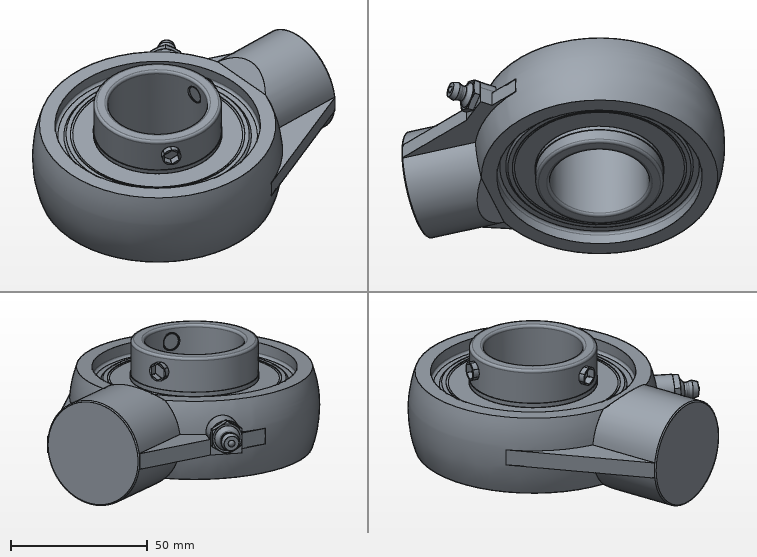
import cadquery as cq
import math

OVERALL_LENGTH = 115.7

HOUSING_DIAMETER = 91.7
HOUSING_FACE_DIAMETER = 86.5
HOUSING_WIDTH = 30.0
BORE_DIAMETER = 75.2
BORE_FLOOR_FILLET = 1.0

SHANK_DIAMETER = 39.8
SHANK_END_CHAMFER = 0.5
WEB_THICKNESS = 6.0
PAD_DIAMETER = 12.0
PAD_REACH = 51.6
PAD_HEIGHT = 3.8
NIPPLE_ANGLE = 135.0

RING_FACE_DIAMETER = BORE_DIAMETER - 2 * BORE_FLOOR_FILLET
RING_WIDTH = 19.7
LAND_DIAMETER = 67.1
LAND_RISE = 0.8
RACE_DIAMETER = 62.2

INNER_DIAMETER = 46.7
SHAFT_BORE = 36.5
INNER_TOP = 25.5
INNER_BOTTOM = -17.8
INNER_ROUND = 1.0

SEAL_DIAMETER = 63.8
SEAL_COLLAR_DIAMETER = 47.2
SEAL_FACE = 10.8
SEAL_THICKNESS = 0.2
SEAL_COLLAR_TOP = 12.4

SCREW_DIAMETER = 6.8
SCREW_TIP_DIAMETER = 6.0
SCREW_TIP_CHAMFER = (SCREW_DIAMETER - SCREW_TIP_DIAMETER) / 2
SCREW_INNER_REACH = 18.4
SCREW_OUTER_REACH = 25.5
SCREW_HEIGHT = 19.4
SCREW_ANGLES = (90.0, -30.0)
SOCKET_CORNERS = 6.2
SOCKET_DEPTH = 2.9

HEX_FLATS = 11.0
HEX_HEIGHT = 2.4
HEX_CHAMFER_HEIGHT = 0.3
SHOULDER_RADIUS = 4.7
SHOULDER_HEIGHT = 3.9
NECK_RADIUS = 2.8
NECK_TOP_RADIUS = 2.9
SHOULDER_TOP_RADIUS = 3.1
NECK_START = 4.2
NECK_STRAIGHT_END = 5.1
NECK_END = 5.8
HEAD_DIAMETER = 6.8
HEAD_WIDEST = 7.2
HEAD_TIP_RADIUS = 2.8
HEAD_END = 9.4
BALL_RADIUS = 1.3
BALL_RISE = 0.7

housing_radius = HOUSING_DIAMETER / 2
face_radius = HOUSING_FACE_DIAMETER / 2
half_width = HOUSING_WIDTH / 2
shank_radius = SHANK_DIAMETER / 2
shank_end = OVERALL_LENGTH - housing_radius
half_ring = RING_WIDTH / 2
SIN_45 = math.sqrt(0.5)


def revolve(points):
    """Solid of revolution about Z from (radius, height) points."""
    return cq.Workplane("XZ").polyline(points).close().revolve(360, (0, 0, 0), (0, 1, 0))


def place_radially(body, angle, height):
    """Turn a body built along +Z so that its axis points out at an angle in XY."""
    return body.rotate((0, 0, 0), (0, 1, 0), 90).rotate((0, 0, 0), (0, 0, 1), angle).translate((0, 0, height))



def make_barrel():
    """Ring blank with a crowned outside."""
    return (
        cq.Workplane("XZ")
        .moveTo(0, -half_width)
        .lineTo(face_radius, -half_width)
        .threePointArc((housing_radius, 0), (face_radius, half_width))
        .lineTo(0, half_width)
        .close()
        .revolve(360, (0, 0, 0), (0, 1, 0))
    )


def make_shank():
    """Round shank whose root is bevelled at 45 degrees down to both ring faces."""
    ring_chord = math.sqrt(shank_radius**2 - half_width**2)
    bevel_start = math.sqrt(face_radius**2 - ring_chord**2)
    bevel_end = bevel_start + shank_radius - half_width
    rod = (
        cq.Workplane("XZ")
        .circle(shank_radius)
        .extrude(-shank_end)
        .faces(">Y")
        .chamfer(SHANK_END_CHAMFER)
    )
    profile = [
        (bevel_start, half_width),
        (bevel_end, shank_radius),
        (shank_end, shank_radius),
        (shank_end, -shank_radius),
        (bevel_end, -shank_radius),
        (bevel_start, -half_width),
        (0, -half_width),
        (0, half_width),
    ]
    envelope = cq.Workplane("YZ").polyline(profile).close().extrude(shank_radius, both=True)
    return rod.intersect(envelope)


def make_web():
    """Plate from the shank end down to the tangent points on the ring."""
    corner_y = shank_end - SHANK_END_CHAMFER
    corner_distance = math.hypot(shank_radius, corner_y)
    tangent_angle = math.atan2(corner_y, shank_radius) - math.acos(housing_radius / corner_distance)
    tangent_x = housing_radius * math.cos(tangent_angle)
    tangent_y = housing_radius * math.sin(tangent_angle)
    outline = [
        (0, 0),
        (tangent_x, tangent_y),
        (shank_radius, corner_y),
        (-shank_radius, corner_y),
        (-tangent_x, tangent_y),
    ]
    return cq.Workplane("XY").polyline(outline).close().extrude(WEB_THICKNESS / 2, both=True)


def make_pad():
    """Pad for the nipple: round above, straight-sided down to the web's lower face.

    It is built along +Z with -X as the upward side, then laid down.
    """
    depth = PAD_HEIGHT + WEB_THICKNESS / 2
    radius = PAD_DIAMETER / 2
    upper_half = cq.Workplane("XY").moveTo(0, radius).threePointArc((-radius, 0), (0, -radius)).close()
    rounded = upper_half.extrude(PAD_REACH)
    straight_part = cq.Workplane("XY").center(depth / 2, 0).rect(depth, PAD_DIAMETER).extrude(PAD_REACH)
    return place_radially(rounded.union(straight_part), NIPPLE_ANGLE, PAD_HEIGHT)


def make_bore_cutter():
    """Ring seat opening into a wider counterbore at both faces through a fillet."""
    bore_radius = BORE_DIAMETER / 2
    seat_radius = RING_FACE_DIAMETER / 2
    fillet_top = half_ring + BORE_FLOOR_FILLET
    arc_x = seat_radius + BORE_FLOOR_FILLET * SIN_45
    arc_z = fillet_top - BORE_FLOOR_FILLET * SIN_45
    return (
        cq.Workplane("XZ")
        .moveTo(0, -half_width)
        .lineTo(bore_radius, -half_width)
        .lineTo(bore_radius, -fillet_top)
        .threePointArc((arc_x, -arc_z), (seat_radius, -half_ring))
        .lineTo(seat_radius, half_ring)
        .threePointArc((arc_x, arc_z), (bore_radius, fillet_top))
        .lineTo(bore_radius, half_width)
        .lineTo(0, half_width)
        .close()
        .revolve(360, (0, 0, 0), (0, 1, 0))
    )


def make_housing():
    """Barrel, shank, web and pad in one casting, bored for the bearing."""
    return make_barrel().union(make_shank()).union(make_web()).union(make_pad()).cut(make_bore_cutter())



def make_outer_ring():
    """Ring with a raised 45 degree bevelled land at both ends and a recess for each seal."""
    land_foot_radius = LAND_DIAMETER / 2 + LAND_RISE
    seal_radius = SEAL_DIAMETER / 2
    land_top = half_ring + LAND_RISE
    seat = SEAL_FACE - SEAL_THICKNESS
    upper = [
        (RACE_DIAMETER / 2, seat),
        (seal_radius, seat),
        (seal_radius, land_top),
        (LAND_DIAMETER / 2, land_top),
        (land_foot_radius, half_ring),
        (RING_FACE_DIAMETER / 2, half_ring),
    ]
    lower = [(radius, -height) for radius, height in reversed(upper)]
    return revolve(upper + lower)


def make_screws():
    """Set screws with a chamfered inner tip and a hexagon socket."""
    screws = []
    for angle in SCREW_ANGLES:
        screw = (
            cq.Workplane("XY")
            .workplane(offset=SCREW_INNER_REACH)
            .circle(SCREW_DIAMETER / 2)
            .extrude(SCREW_OUTER_REACH - SCREW_INNER_REACH)
            .faces("<Z")
            .chamfer(SCREW_TIP_CHAMFER)
            .faces(">Z")
            .workplane()
            .polygon(6, SOCKET_CORNERS)
            .cutBlind(-SOCKET_DEPTH)
        )
        screws.append(place_radially(screw, angle, SCREW_HEIGHT))
    return screws


def make_inner_ring():
    """Rounded sleeve extended upwards, with a radial hole for each set screw."""
    ring = (
        cq.Workplane("XY")
        .workplane(offset=INNER_BOTTOM)
        .circle(INNER_DIAMETER / 2)
        .circle(SHAFT_BORE / 2)
        .extrude(INNER_TOP - INNER_BOTTOM)
        .faces("<Z or >Z")
        .edges()
        .fillet(INNER_ROUND)
    )
    for angle in SCREW_ANGLES:
        hole = cq.Workplane("XY").circle(SCREW_DIAMETER / 2).extrude(INNER_DIAMETER)
        ring = ring.cut(place_radially(hole, angle, SCREW_HEIGHT))
    return ring


def make_seal():
    """Upper seal: flat disc with a thin collar against the inner ring."""
    bottom = SEAL_FACE - SEAL_THICKNESS
    return revolve([
        (INNER_DIAMETER / 2, bottom),
        (SEAL_DIAMETER / 2, bottom),
        (SEAL_DIAMETER / 2, SEAL_FACE),
        (SEAL_COLLAR_DIAMETER / 2, SEAL_FACE),
        (SEAL_COLLAR_DIAMETER / 2, SEAL_COLLAR_TOP),
        (INNER_DIAMETER / 2, SEAL_COLLAR_TOP),
    ])



def make_nipple():
    """Chamfered hexagon carrying a turned shoulder, neck, head and check ball."""
    hex_corners = HEX_FLATS / math.cos(math.radians(30))
    chamfer_run = (hex_corners - HEX_FLATS) / 2
    hexagon = cq.Workplane("XY").polygon(6, hex_corners).extrude(HEX_HEIGHT)
    hex_envelope = revolve([
        (0, 0),
        (hex_corners / 2, 0),
        (hex_corners / 2, HEX_HEIGHT - HEX_CHAMFER_HEIGHT),
        (hex_corners / 2 - chamfer_run, HEX_HEIGHT),
        (0, HEX_HEIGHT),
    ])
    ball_sphere_radius = (BALL_RADIUS**2 + BALL_RISE**2) / (2 * BALL_RISE)
    ball_half_angle = math.asin(BALL_RADIUS / ball_sphere_radius) / 2
    ball_top = HEAD_END + BALL_RISE
    ball_mid_x = ball_sphere_radius * math.sin(ball_half_angle)
    ball_mid_z = ball_top - ball_sphere_radius * (1 - math.cos(ball_half_angle))
    head = (
        cq.Workplane("XZ")
        .moveTo(0, 0)
        .lineTo(SHOULDER_RADIUS, 0)
        .lineTo(SHOULDER_RADIUS, HEX_HEIGHT)
        .lineTo(SHOULDER_TOP_RADIUS, SHOULDER_HEIGHT)
        .lineTo(NECK_RADIUS, NECK_START)
        .lineTo(NECK_RADIUS, NECK_STRAIGHT_END)
        .lineTo(NECK_TOP_RADIUS, NECK_END)
        .lineTo(HEAD_DIAMETER / 2, HEAD_WIDEST)
        .lineTo(HEAD_TIP_RADIUS, HEAD_END)
        .lineTo(BALL_RADIUS, HEAD_END)
        .threePointArc((ball_mid_x, ball_mid_z), (0, ball_top))
        .close()
        .revolve(360, (0, 0, 0), (0, 1, 0))
    )
    nipple = hexagon.intersect(hex_envelope).union(head).translate((0, 0, PAD_REACH))
    return place_radially(nipple, NIPPLE_ANGLE, PAD_HEIGHT)


housing = make_housing()
outer_ring = make_outer_ring()
inner_ring = make_inner_ring()
upper_seal = make_seal()
lower_seal = upper_seal.mirror("XY")
set_screws = make_screws()
grease_nipple = make_nipple()

result = cq.Compound.makeCompound([
    housing.val(),
    outer_ring.val(),
    inner_ring.val(),
    upper_seal.val(),
    lower_seal.val(),
    *[screw.val() for screw in set_screws],
    grease_nipple.val(),
])